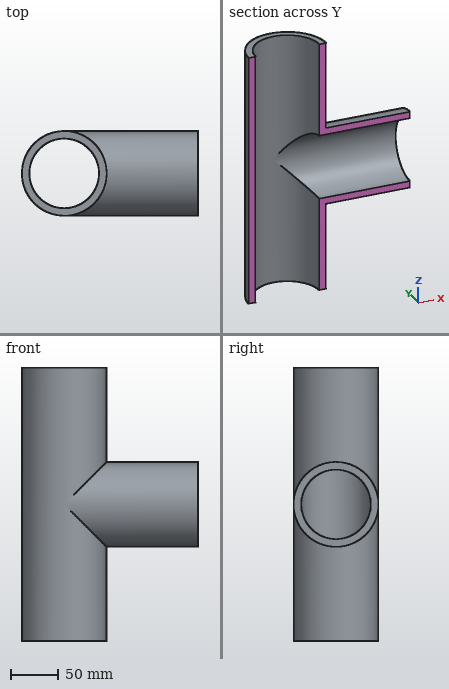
import cadquery as cq

pipe_diameter = 90.0
wall_thickness = 8.2
run_length = 290.0
branch_reach = 142.0

bore_diameter = pipe_diameter - 2 * wall_thickness


def tee_shape(diameter):
    """Union of two solid cylinders whose axes cross at the origin."""
    run = cq.Workplane("XY").circle(diameter / 2).extrude(run_length / 2, both=True)
    branch = cq.Workplane("YZ").circle(diameter / 2).extrude(branch_reach)
    return run.union(branch)


result = tee_shape(pipe_diameter).cut(tee_shape(bore_diameter))